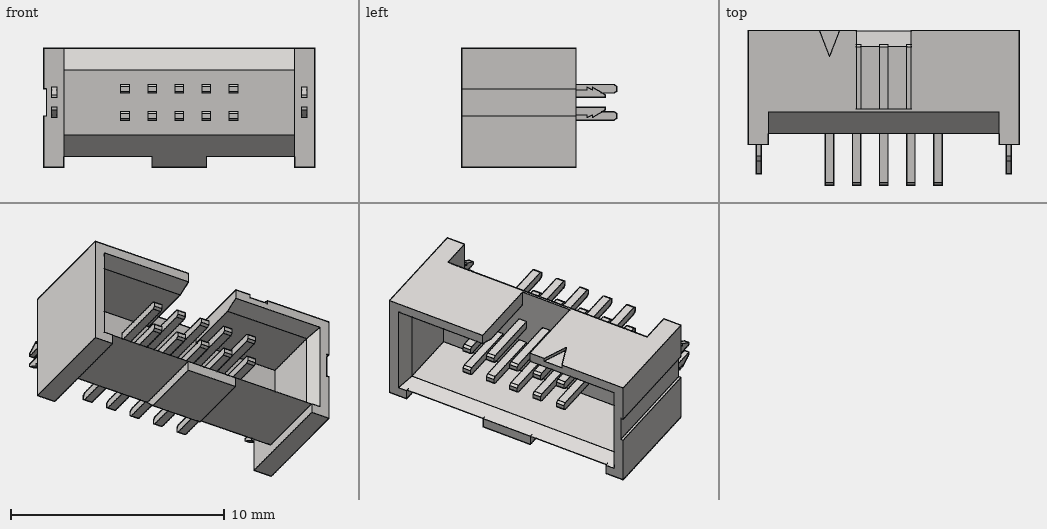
import cadquery as cq


length = 12.7
depth = 5.36
top_z = 2.54
bottom_z = -top_z
foot_width = 0.94
foot_drop = 0.51
back_setback = 0.52
back_chamfer = 1.02

mouth_wall = 0.5
cavity_wall = 0.77
lead_in_depth = 0.76
cavity_depth = 3.7

key_width = 2.57
rib_setback = 0.04
mark_x = -2.54
mark_width = 0.95
mark_length = 1.23
mark_depth = 0.17
side_groove_depth = 0.13
side_groove_height = 1.27

pin_columns = 5
pitch = 1.27
pin_width = 0.41
pin_tip_setback = 0.66
tail_length = 1.9
pin_taper_length = 0.13
pin_taper_height = 0.09

latch_x = 5.85
latch_width = 0.25
latch_inner = 0.23
latch_neck = 0.58
latch_barb = 0.71
latch_tip = 0.35
first_barb_y = -0.52
second_barb_y = -0.76
latch_tip_y = -1.37

body_width = length - 2 * foot_width
foot_bottom_z = bottom_z - foot_drop
full_height = top_z - foot_bottom_z
middle_z = (top_z + foot_bottom_z) / 2
chamfer_end_y = back_setback + back_chamfer
cavity_floor_y = depth - cavity_depth


def box(x_range, y_range, z_range):
    """Box spanning the given (low, high) limits."""
    size = [high - low for low, high in (x_range, y_range, z_range)]
    corner = (x_range[0], y_range[0], z_range[0])
    return cq.Workplane("XY").box(*size, centered=False).translate(corner)


def extrude_along_x(points, width, center_x):
    """Prism of a (y, z) outline, centred on center_x."""
    prism = cq.Workplane("YZ").polyline(points).close().extrude(width / 2, both=True)
    return prism.translate((center_x, 0, 0))


def make_body():
    """Block between the feet, with both rear edges chamfered."""
    outline = [
        (depth, top_z),
        (chamfer_end_y, top_z),
        (back_setback, top_z - back_chamfer),
        (back_setback, bottom_z + back_chamfer),
        (chamfer_end_y, bottom_z),
        (depth, bottom_z),
    ]
    return extrude_along_x(outline, body_width, 0)


def make_key_rib():
    """Rib under the body; its rear end continues the lower chamfer."""
    outline = [
        (chamfer_end_y, bottom_z),
        (chamfer_end_y + foot_drop, foot_bottom_z),
        (depth - rib_setback, foot_bottom_z),
        (depth - rib_setback, bottom_z),
    ]
    return extrude_along_x(outline, key_width, 0)


def make_foot(side):
    """End wall on the given side (-1 or 1)."""
    x_range = sorted((side * length / 2, side * body_width / 2))
    return box(x_range, (0, depth), (foot_bottom_z, top_z))


def make_cavity():
    """Plug cavity with a lead-in that widens toward the mouth."""
    chamber_size = (length - 2 * cavity_wall, full_height - 2 * cavity_wall)
    mouth_size = (length - 2 * mouth_wall, full_height - 2 * mouth_wall)
    mouth = cq.Workplane("XZ", origin=(0, depth, middle_z))
    chamber = mouth.rect(*chamber_size).extrude(cavity_depth)
    lead_in = mouth.rect(*mouth_size).workplane(offset=lead_in_depth).rect(*chamber_size).loft()
    return chamber.union(lead_in)


def make_key_slot():
    """Slot through the top wall, open at the mouth."""
    return box((-key_width / 2, key_width / 2), (cavity_floor_y, depth), (middle_z, top_z))


def make_pin_one_mark():
    """Shallow triangular recess in the top face at the mouth."""
    corners = [
        (mark_x - mark_width / 2, depth),
        (mark_x + mark_width / 2, depth),
        (mark_x, depth - mark_length),
    ]
    return cq.Workplane("XY", origin=(0, 0, top_z)).polyline(corners).close().extrude(-mark_depth)


def make_side_groove():
    """Groove along the whole -X side."""
    x_range = (-length / 2, -length / 2 + side_groove_depth)
    return box(x_range, (0, depth), (-side_groove_height / 2, side_groove_height / 2))


def make_pin(x, z):
    """Square pin through the cavity floor, tapered in height at both ends."""
    tip_y = depth - pin_tip_setback
    half = pin_width / 2
    end_half = half - pin_taper_height
    outline = [
        (tip_y, z - end_half),
        (tip_y, z + end_half),
        (tip_y - pin_taper_length, z + half),
        (-tail_length + pin_taper_length, z + half),
        (-tail_length, z + end_half),
        (-tail_length, z - end_half),
        (-tail_length + pin_taper_length, z - half),
        (tip_y - pin_taper_length, z - half),
    ]
    return extrude_along_x(outline, pin_width, x)


def make_latch(x, side):
    """Barbed board latch on a foot; side is 1 above Z = 0 and -1 below."""
    outline = [
        (0, latch_inner),
        (0, latch_neck),
        (first_barb_y, latch_neck),
        (first_barb_y, latch_barb),
        (second_barb_y, latch_neck),
        (second_barb_y, latch_barb),
        (latch_tip_y, latch_tip),
        (latch_tip_y, latch_inner),
    ]
    return extrude_along_x([(y, side * z) for y, z in outline], latch_width, x)


housing = make_body().union(make_key_rib())
for end in (-1, 1):
    housing = housing.union(make_foot(end))

for recess in (make_cavity(), make_key_slot(), make_pin_one_mark(), make_side_groove()):
    housing = housing.cut(recess)

result = housing
for row in (-1, 1):
    for column in range(pin_columns):
        pin_x = (column - (pin_columns - 1) / 2) * pitch
        result = result.union(make_pin(pin_x, row * pitch / 2))
    for end in (-1, 1):
        result = result.union(make_latch(end * latch_x, row))